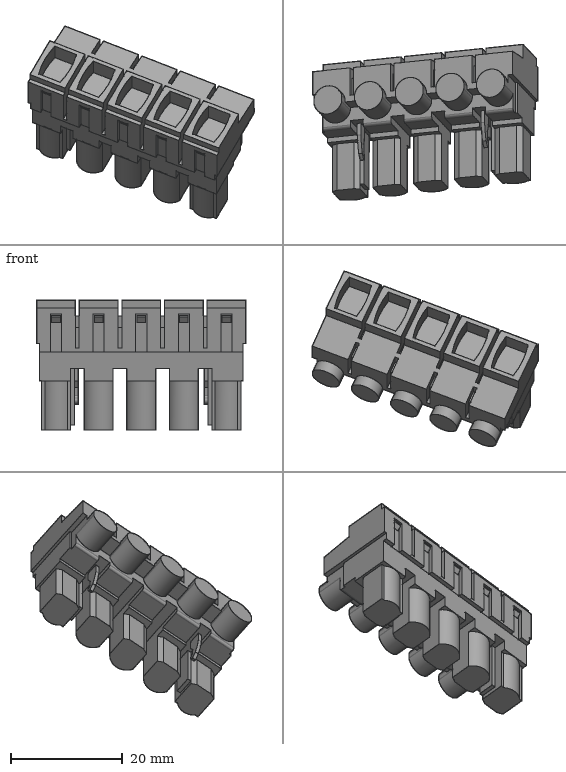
import cadquery as cq
import math


POLES = 5
LENGTH = 37.42
HEIGHT = 23.25
DEPTH = 17.25
MODULE_WIDTH = 6.95
PITCH = (LENGTH - MODULE_WIDTH) / (POLES - 1)
GAP = PITCH - MODULE_WIDTH
CENTRES = [(i - (POLES - 1) / 2) * PITCH for i in range(POLES)]
GAP_CENTRES = [x + PITCH / 2 for x in CENTRES[:-1]]

FRONT_STEP = 0.7
TOP_STEP_Z = 21.85
HEAD_REAR = 8.95
ROOF_FRONT_Z = 20.6
ROOF_REAR_Z = 19.85
UPPER_REAR = 15.23
SHOULDER_Z = 15.45
LEDGE_Z = 13.95

SIDE_INSET = 0.5
LOWER_BOTTOM = 8.8
LOWER_STEP_Y = 7.9
REAR_BOTTOM = 9.7
REAR_START = 10.78
REAR_WALL = 12.1
REAR_ROUND = 0.5
NOTCH_TOP = 11.0

POLE_WIDTH = 5.2
BARREL_RADIUS = 2.65
BARREL_Z = 13.47
SLEEVE_FRONT = 0.8
SLEEVE_REAR = 6.75
SLEEVE_RADIUS = 3.05
END_FLAT_Y = 1.55
REAR_BEVEL_DEPTH = 0.5
REAR_BEVEL_WIDTH = 1.0
BEVEL_Y = SLEEVE_REAR - REAR_BEVEL_DEPTH
ROW_INSET = (MODULE_WIDTH - POLE_WIDTH) / 2

RIB_WIDTH = 0.7
RIB_BOTTOM = 0.9
RIB_FRONT = 3.15
HOOK_WIDTH = 0.67
HOOK_REAR = 10.2
HOOK_STRAIGHT_Z = 8.75
HOOK_NECK_Y = 8.45
HOOK_NECK_TOP = 7.65
HOOK_NECK_BOTTOM = 6.2
HOOK_BACK_MID = (9.88, 7.07)
HOOK_BACK_END = (9.3, 5.58)
HOOK_TIP_LOW = (8.45, 4.6)
HOOK_TIP_FRONT = (7.9, 5.1)
HOOK_TIP_HIGH = (8.15, 5.73)
HOOK_HOLLOW_MID = (8.4, 6.0)

SLIT_DEEP_Z = 14.65
SLIT_SHALLOW_Z = 18.35
FRONT_SLIT_STEP = 1.4
FRONT_SLIT_END = 10.75
REAR_SLIT_START = 11.68
REAR_SLIT_STEP = 13.8

POCKET_FRONT = 1.5
POCKET_REAR = 8.25
POCKET_END_WIDTH = 4.25
POCKET_MID_WIDTH = 5.0
POCKET_FLOOR = 19.75

SLOT_WIDTH = 2.0
SLOT_TOP = 20.73
TONGUE_THICKNESS = 0.37
NOSE_WIDTH = 1.55
NOSE_TOP = 20.5
NOSE_EDGE = 20.17
NOSE_BOTTOM = 19.2
NOSE_SLOPE = 30.0


def block(x_centre, width, y_range, z_range):
    """Box centred on x_centre and spanning the given Y and Z ranges."""
    y0, y1 = y_range
    z0, z1 = z_range
    middle = (x_centre, (y0 + y1) / 2, (z0 + z1) / 2)
    return cq.Workplane("XY").box(width, y1 - y0, z1 - z0).translate(middle)


def side_profile(x_centre, width):
    """YZ workplane whose extrusion by width is centred on x_centre."""
    return cq.Workplane("YZ", origin=(x_centre - width / 2, 0, 0))


def upper_housing():
    outline = [
        (0, SHOULDER_Z),
        (0, TOP_STEP_Z),
        (FRONT_STEP, TOP_STEP_Z),
        (FRONT_STEP, HEIGHT),
        (HEAD_REAR, HEIGHT),
        (HEAD_REAR, ROOF_FRONT_Z),
        (UPPER_REAR, ROOF_REAR_Z),
        (UPPER_REAR, SHOULDER_Z),
    ]
    return side_profile(0, LENGTH).polyline(outline).close().extrude(LENGTH)


def lower_housing():
    outline = [
        (0, SHOULDER_Z),
        (0, LEDGE_Z),
        (FRONT_STEP, LEDGE_Z),
        (FRONT_STEP, LOWER_BOTTOM),
        (LOWER_STEP_Y, LOWER_BOTTOM),
        (LOWER_STEP_Y, REAR_BOTTOM),
        (REAR_START, REAR_BOTTOM),
        (REAR_START, SHOULDER_Z),
    ]
    width = LENGTH - 2 * SIDE_INSET
    return side_profile(0, width).polyline(outline).close().extrude(width)


def rear_housing():
    width = LENGTH - 2 * ROW_INSET
    wall = block(0, width, (REAR_START, REAR_WALL), (REAR_BOTTOM, SHOULDER_Z))
    wall = wall.edges("|X and >Y and <Z").fillet(REAR_ROUND)
    overhang = block(0, width, (REAR_WALL, UPPER_REAR), (BARREL_Z, SHOULDER_Z))
    return wall.union(overhang)


def notch(x_centre):
    return block(x_centre, PITCH - POLE_WIDTH, (0, DEPTH), (0, NOTCH_TOP))


def barrel(x_centre):
    """Cylinder along Y with its sides trimmed flat to the pole width."""
    length = DEPTH - REAR_START
    cylinder = (
        cq.Workplane("XZ", origin=(x_centre, DEPTH, BARREL_Z)).circle(BARREL_RADIUS).extrude(length)
    )
    trim = block(x_centre, POLE_WIDTH, (REAR_START, DEPTH), (0, HEIGHT))
    return cylinder.intersect(trim)


def sleeve(x_centre):
    """Post with a cylindrical front and bevelled rear corners."""
    half = POLE_WIDTH / 2
    centre_y = SLEEVE_FRONT + SLEEVE_RADIUS
    side_y = centre_y - math.sqrt(SLEEVE_RADIUS**2 - half**2)
    return (
        cq.Workplane("XY", origin=(x_centre, 0, 0))
        .moveTo(-half, side_y)
        .threePointArc((0, SLEEVE_FRONT), (half, side_y))
        .lineTo(half, BEVEL_Y)
        .lineTo(half - REAR_BEVEL_WIDTH, SLEEVE_REAR)
        .lineTo(-half + REAR_BEVEL_WIDTH, SLEEVE_REAR)
        .lineTo(-half, BEVEL_Y)
        .close()
        .extrude(LOWER_BOTTOM)
    )


def end_sleeve(x_centre):
    """Sleeve whose front corners are filled out square on both sides of the arc."""
    corners = block(x_centre, POLE_WIDTH, (END_FLAT_Y, BEVEL_Y), (0, LOWER_BOTTOM))
    return sleeve(x_centre).union(corners)


def rib(side):
    """Strip on the inner side of an end sleeve; side is -1 or 1."""
    x_centre = side * (LENGTH / 2 - ROW_INSET - POLE_WIDTH - RIB_WIDTH / 2)
    return block(x_centre, RIB_WIDTH, (RIB_FRONT, BEVEL_Y), (RIB_BOTTOM, NOTCH_TOP))


def hook(side):
    """Curved latch hanging from the notch next to the rib; side is -1 or 1."""
    x_centre = side * (LENGTH / 2 - ROW_INSET - POLE_WIDTH - RIB_WIDTH - HOOK_WIDTH / 2)
    return (
        side_profile(x_centre, HOOK_WIDTH)
        .moveTo(LOWER_STEP_Y, NOTCH_TOP)
        .lineTo(HOOK_REAR, NOTCH_TOP)
        .lineTo(HOOK_REAR, HOOK_STRAIGHT_Z)
        .threePointArc(HOOK_BACK_MID, HOOK_BACK_END)
        .lineTo(*HOOK_TIP_LOW)
        .threePointArc(HOOK_TIP_FRONT, HOOK_TIP_HIGH)
        .threePointArc(HOOK_HOLLOW_MID, (HOOK_NECK_Y, HOOK_NECK_BOTTOM))
        .lineTo(HOOK_NECK_Y, HOOK_NECK_TOP)
        .lineTo(LOWER_STEP_Y, LOWER_BOTTOM)
        .close()
        .extrude(HOOK_WIDTH)
    )


def slits(x_centre):
    """Front and rear slits between two modules, each deeper at its outer end."""
    front_deep = block(x_centre, GAP, (0, FRONT_SLIT_STEP), (SLIT_DEEP_Z, HEIGHT))
    front_shallow = block(x_centre, GAP, (0, FRONT_SLIT_END), (SLIT_SHALLOW_Z, HEIGHT))
    rear_deep = block(x_centre, GAP, (REAR_SLIT_STEP, UPPER_REAR), (SLIT_DEEP_Z, HEIGHT))
    rear_shallow = block(x_centre, GAP, (REAR_SLIT_START, UPPER_REAR), (SLIT_SHALLOW_Z, HEIGHT))
    return front_deep.union(front_shallow).union(rear_deep).union(rear_shallow)


def wire_pocket(x_centre):
    """Blind pocket with straight front and rear walls and bowed side walls."""
    end = POCKET_END_WIDTH / 2
    mid = POCKET_MID_WIDTH / 2
    mid_y = (POCKET_FRONT + POCKET_REAR) / 2
    return (
        cq.Workplane("XY", origin=(x_centre, 0, POCKET_FLOOR))
        .moveTo(-end, POCKET_FRONT)
        .lineTo(end, POCKET_FRONT)
        .threePointArc((mid, mid_y), (end, POCKET_REAR))
        .lineTo(-end, POCKET_REAR)
        .threePointArc((-mid, mid_y), (-end, POCKET_FRONT))
        .close()
        .extrude(HEIGHT - POCKET_FLOOR)
    )


def tongue_slot(x_centre):
    """Front slot, including the recess that holds the tongue behind it."""
    return block(x_centre, SLOT_WIDTH, (0, FRONT_STEP + TONGUE_THICKNESS), (LEDGE_Z, SLOT_TOP))


def make_housing():
    body = upper_housing().union(lower_housing()).union(rear_housing())
    for x in GAP_CENTRES:
        body = body.cut(notch(x)).cut(slits(x))
    for x in CENTRES:
        body = body.union(barrel(x))
        body = body.cut(wire_pocket(x)).cut(tongue_slot(x))
    for x in CENTRES[1:-1]:
        body = body.union(sleeve(x))
    for x in (CENTRES[0], CENTRES[-1]):
        body = body.union(end_sleeve(x))
    for side in (-1, 1):
        body = body.union(rib(side)).union(hook(side))
    return body


def make_tongue(x_centre):
    """Flat tongue filling the recess of a slot, with a wedge-shaped nose near its top."""
    plate_rear = FRONT_STEP + TONGUE_THICKNESS
    plate = block(x_centre, SLOT_WIDTH, (FRONT_STEP, plate_rear), (LEDGE_Z, SLOT_TOP))
    nose_front = FRONT_STEP - (NOSE_EDGE - NOSE_BOTTOM) * math.tan(math.radians(NOSE_SLOPE))
    outline = [
        (FRONT_STEP, NOSE_TOP),
        (nose_front, NOSE_TOP),
        (nose_front, NOSE_EDGE),
        (FRONT_STEP, NOSE_BOTTOM),
    ]
    nose = side_profile(x_centre, NOSE_WIDTH).polyline(outline).close().extrude(NOSE_WIDTH)
    return plate.union(nose)


housing = make_housing()
tongues = [make_tongue(x) for x in CENTRES]

result = cq.Compound.makeCompound([housing.val(), *[tongue.val() for tongue in tongues]])